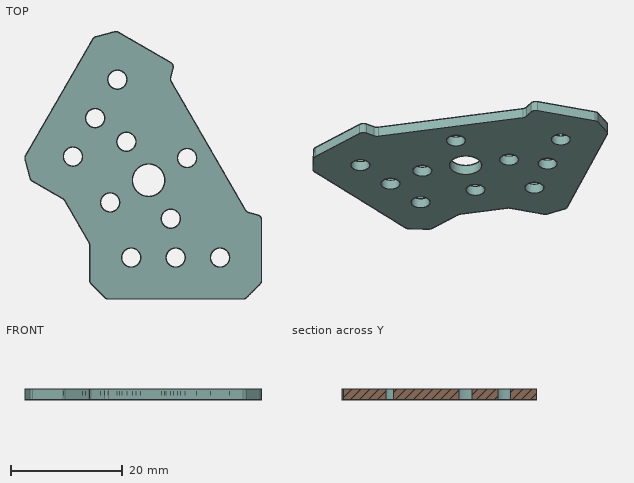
import cadquery as cq
import math

thickness = 2.0
symmetry_angle = 30.0

arm_length = 31.0
arm_width = 15.0
arm_centre_x = 4.87
arm_centre_y = -13.93
corner_chamfer = 3.0
shoulder_slope = -15.0
corner_radius = 1.0

waist_inner_distance = 14.93
waist_outer_distance = 12.43

centre_hole_diameter = 5.8
small_hole_diameter = 3.4
hole_circle_radius = 8.0
hole_circle_count = 4
arm_hole_pitch = 8.0
arm_hole_count = 3

axis_x = math.cos(math.radians(symmetry_angle))
axis_y = math.sin(math.radians(symmetry_angle))


def mirrored(point):
    """Reflect a point across the symmetry axis."""
    x, y = point
    along = x * axis_x + y * axis_y
    return (2 * along * axis_x - x, 2 * along * axis_y - y)


def lower_arm_corners():
    """Sharp corners of the lower half, from the inner waist edge round to the outer one."""
    left = arm_centre_x - arm_length / 2
    right = arm_centre_x + arm_length / 2
    bottom = arm_centre_y - arm_width / 2
    top = arm_centre_y + arm_width / 2

    inner_y = (-waist_inner_distance - left * axis_x) / axis_y

    slope = math.radians(shoulder_slope)
    distance_short = waist_outer_distance - (right * axis_x + top * axis_y)
    shoulder_length = distance_short / (math.cos(slope) * axis_x + math.sin(slope) * axis_y)
    shoulder_x = right + shoulder_length * math.cos(slope)
    shoulder_y = top + shoulder_length * math.sin(slope)

    return [
        (left, inner_y),
        (left, bottom + corner_chamfer),
        (left + corner_chamfer, bottom),
        (right - corner_chamfer, bottom),
        (right, bottom + corner_chamfer),
        (right, top),
        (shoulder_x, shoulder_y),
    ]


def plate_blank():
    """Solid plate with every outline corner rounded."""
    lower = lower_arm_corners()
    upper = [mirrored(point) for point in reversed(lower)]
    blank = cq.Workplane("XY").polyline(lower + upper).close().extrude(thickness)
    return blank.edges("|Z").fillet(corner_radius)


def small_hole_centres():
    """Centres of the hole circle and of the row of holes in each arm."""
    centres = []
    for index in range(hole_circle_count):
        angle = math.radians(symmetry_angle + index * 360 / hole_circle_count)
        centres.append((hole_circle_radius * math.cos(angle), hole_circle_radius * math.sin(angle)))
    for index in range(arm_hole_count):
        offset = (index - (arm_hole_count - 1) / 2) * arm_hole_pitch
        centre = (arm_centre_x + offset, arm_centre_y)
        centres += [centre, mirrored(centre)]
    return centres


def hole_cutter(centres, diameter):
    """Cylinders through the full plate thickness."""
    return cq.Workplane("XY").pushPoints(centres).circle(diameter / 2).extrude(thickness)


result = (
    plate_blank()
    .cut(hole_cutter([(0, 0)], centre_hole_diameter))
    .cut(hole_cutter(small_hole_centres(), small_hole_diameter))
)